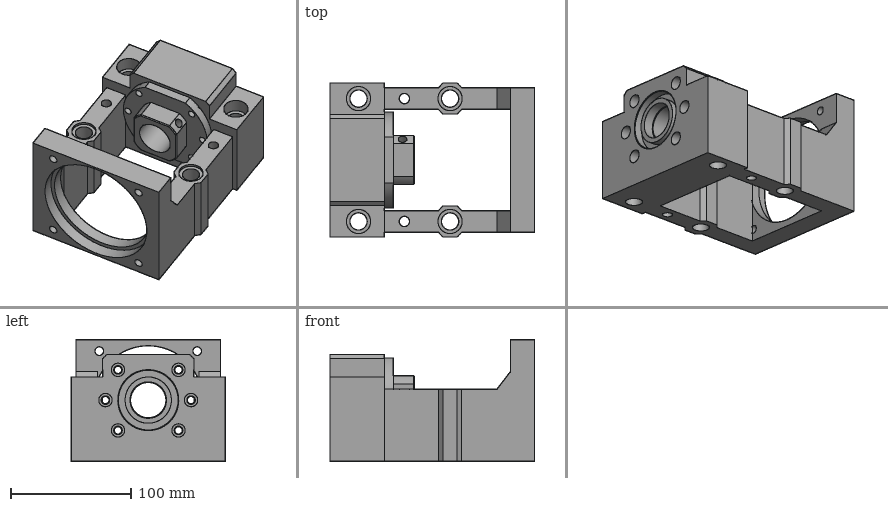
import cadquery as cq
import math

length = 170.0
axis_z = 50.8

block_length = 45.2
block_width = 128.0
shoulder_z = 70.0
crown_width = 75.8
crown_z = 88.7
crown_chamfer = 3.5

arm_width = 18.0
arm_z = 60.0
ramp_start_x = 138.7
ramp_top_z = 74.5

plate_thickness = 20.2
plate_width = 120.0
plate_height = 101.0
plate_bore_radius = 45.0
plate_recess_radius = 48.5
plate_lip = 10.2
plate_hole_offset = 40.6
plate_hole_diameter = 7.0

bolt_y = 51.0
bolt_diameter = 14.1
bolt_head_diameter = 20.0
block_seat_depth = 12.0
pad_seat_depth = 2.0
block_bolt_x = 23.8
pad_bolt_x = 99.8
pad_flat_length = 11.9
pad_length = 19.4
pin_x = 61.9
pin_diameter = 8.3

flange_thickness = 7.5
flange_radius = 40.0
flange_flat = 35.0
nut_length = 17.5
nut_radius = 24.5
nut_flat = 20.4
nut_chamfer = 0.8
set_screw_diameter = 7.1
set_screw_x = 60.4

groove_radius = 25.3
groove_depth = 8.0
groove_chamfer = 0.5
sleeve_radius = 19.2
sleeve_recess = 1.9
shaft_entry_radius = 15.1
shaft_entry_end_x = 10.9
shaft_radius = 14.6

screw_circle_radius = 35.5
screw_diameter = 6.0
screw_clearance_diameter = 7.1
screw_head_diameter = 11.0
screw_head_depth = 13.6
screw_angles = (0, 45, 135, 180, 225, 315)

plate_x = length - plate_thickness
flange_end_x = block_length + flange_thickness
nut_end_x = flange_end_x + nut_length
arm_y = plate_width / 2 - arm_width / 2
pad_width = 2 * (block_width / 2 - bolt_y)


def rod(x_start, x_end, radius, y=0.0, z=axis_z):
    """Cylinder along X between two stations."""
    return cq.Workplane("YZ", origin=(x_start, y, z)).circle(radius).extrude(x_end - x_start)


def cone(x_start, start_radius, end_radius):
    """45 degree cone on the bore axis, narrowing toward +X."""
    profile = [
        (x_start, axis_z),
        (x_start, axis_z + start_radius),
        (x_start + start_radius - end_radius, axis_z + end_radius),
        (x_start + start_radius - end_radius, axis_z),
    ]
    return cq.Workplane("XZ").polyline(profile).close().revolve(360, (0, axis_z), (1, axis_z))


def column(x, y, z_start, z_end, diameter):
    """Vertical cylinder between two heights."""
    return cq.Workplane("XY", origin=(x, y, z_start)).circle(diameter / 2).extrude(z_end - z_start)


def block():
    base = cq.Workplane("XY").box(block_length, block_width, shoulder_z, centered=(False, True, False))
    crown = (
        cq.Workplane("XY")
        .box(block_length, crown_width, crown_z, centered=(False, True, False))
        .edges("|X and >Z")
        .chamfer(crown_chamfer)
    )
    return base.union(crown)


def arm(side):
    """Side arm with a ramp up to the end plate and a bolt pad across it."""
    bar = (
        cq.Workplane("XZ", origin=(0, side * arm_y + arm_width / 2, 0))
        .moveTo(block_length, 0)
        .lineTo(plate_x, 0)
        .lineTo(plate_x, ramp_top_z)
        .lineTo(ramp_start_x, arm_z)
        .lineTo(block_length, arm_z)
        .close()
        .extrude(arm_width)
    )
    half_flat = pad_flat_length / 2
    half_length = pad_length / 2
    inner_y = arm_width / 2
    outer_y = pad_width / 2
    pad = (
        cq.Workplane("XY", origin=(pad_bolt_x, side * bolt_y, 0))
        .polyline([
            (-half_flat, -outer_y), (half_flat, -outer_y),
            (half_length, -inner_y), (half_length, inner_y),
            (half_flat, outer_y), (-half_flat, outer_y),
            (-half_length, inner_y), (-half_length, -inner_y),
        ])
        .close()
        .extrude(arm_z)
    )
    return bar.union(pad)


def end_plate():
    plate = (
        cq.Workplane("XY", origin=(plate_x, 0, 0))
        .box(plate_thickness, plate_width, plate_height, centered=(False, True, False))
    )
    plate = plate.cut(rod(plate_x, length, plate_bore_radius))
    plate = plate.cut(rod(plate_x + plate_lip, length, plate_recess_radius))
    for side_y in (-1, 1):
        for side_z in (-1, 1):
            y = side_y * plate_hole_offset
            z = axis_z + side_z * plate_hole_offset
            plate = plate.cut(rod(plate_x, length, plate_hole_diameter / 2, y, z))
    return plate


def flange():
    flats = (
        cq.Workplane("YZ", origin=(block_length, 0, axis_z))
        .rect(2 * flange_radius, 2 * flange_flat)
        .extrude(flange_thickness)
    )
    return rod(block_length, flange_end_x, flange_radius).intersect(flats)


def nut():
    """Round nut with four flats, chamfered at its free end, with a radial set screw hole."""
    flats = (
        cq.Workplane("YZ", origin=(flange_end_x, 0, axis_z))
        .rect(2 * nut_flat, 2 * nut_flat)
        .extrude(nut_length)
    )
    body = rod(flange_end_x, nut_end_x, nut_radius).intersect(flats).faces(">X").chamfer(nut_chamfer)
    set_screw = (
        column(set_screw_x, 0, axis_z, axis_z + 2 * nut_radius, set_screw_diameter)
        .rotate((0, 0, axis_z), (1, 0, axis_z), -45)
    )
    return body.cut(set_screw)


def axial_bore():
    """Annular groove around a recessed sleeve, and the stepped shaft bore through it."""
    groove = rod(0, groove_depth, groove_radius - groove_chamfer)
    mouth = cone(0, groove_radius, groove_radius - groove_chamfer)
    sleeve = rod(sleeve_recess, groove_depth, sleeve_radius)
    entry = rod(0, shaft_entry_end_x, shaft_entry_radius)
    taper = cone(shaft_entry_end_x, shaft_entry_radius, shaft_radius)
    shaft = rod(0, nut_end_x, shaft_radius)
    return groove.union(mouth).cut(sleeve).union(entry).union(taper).union(shaft)


def flange_screw(angle):
    y = screw_circle_radius * math.cos(math.radians(angle))
    z = axis_z + screw_circle_radius * math.sin(math.radians(angle))
    hole = rod(0, flange_end_x, screw_diameter / 2, y, z)
    clearance = rod(0, block_length, screw_clearance_diameter / 2, y, z)
    return hole.union(clearance).union(rod(0, screw_head_depth, screw_head_diameter / 2, y, z))


def bolt_hole(x, y, top_z, seat_depth):
    """Vertical through hole with a counterbored seat at the top."""
    hole = column(x, y, 0, top_z, bolt_diameter)
    return hole.union(column(x, y, top_z - seat_depth, top_z, bolt_head_diameter))


result = block().union(end_plate()).union(flange()).union(nut())
for side in (-1, 1):
    result = result.union(arm(side))

result = result.cut(axial_bore())
for angle in screw_angles:
    result = result.cut(flange_screw(angle))

for side in (-1, 1):
    y = side * bolt_y
    result = result.cut(column(pin_x, y, 0, arm_z, pin_diameter))
    result = result.cut(bolt_hole(block_bolt_x, y, shoulder_z, block_seat_depth))
    result = result.cut(bolt_hole(pad_bolt_x, y, arm_z, pad_seat_depth))